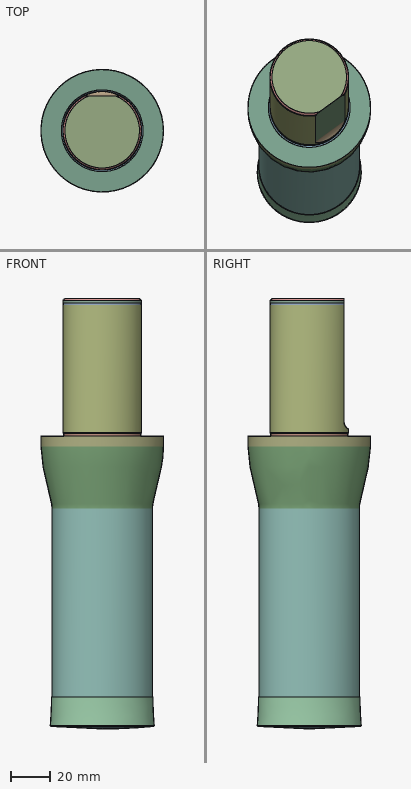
import cadquery as cq
import math

TOTAL_HEIGHT = 219.0
ROD_RADIUS = 0.5 * 40.0

BARREL_RADIUS = 0.5 * 51.2
HEAD_RADIUS = 0.5 * 62.5
HEAD_TOP_Z = 149.0
HEAD_BAND_HEIGHT = 5.3
FLARE_BOTTOM_Z = 112.0
FLARE_INFLECTION_Z = 118.3
FLARE_INFLECTION_RADIUS = 26.7
FLARE_MID_Z = 130.3
FLARE_MID_RADIUS = 29.5
FOOT_TOP_Z = 16.2
FOOT_TOP_RADIUS = 25.8
FOOT_MID_Z = 8.8
FOOT_MID_RADIUS = 26.0
FOOT_BOTTOM_RADIUS = 26.5
FOOT_CHAMFER = 0.5
DOME_EDGE_RADIUS = FOOT_BOTTOM_RADIUS - FOOT_CHAMFER
DOME_RADIUS = 262.8
DOME_HEIGHT = DOME_RADIUS - math.sqrt(DOME_RADIUS**2 - DOME_EDGE_RADIUS**2)

SPIGOT_RADIUS = 0.5 * 39.5
SOCKET_DEPTH = 22.0
SOCKET_FLOOR_Z = HEAD_TOP_Z - SOCKET_DEPTH
SOCKET_CHAMFER = 1.0

SHOULDER_Z = HEAD_TOP_Z + 2.0
SHOULDER_TAPER_HEIGHT = 0.7
TIP_TAPER_Z = 215.5
TIP_LIP_Z = 216.8
TIP_WAIST_RADIUS = 19.7
TIP_CHAMFER = 1.0

FLAT_Y = 17.7
RUNOUT_RADIUS = 4.4
RUNOUT_CENTRE_Z = 156.4


def make_housing():
    """Revolve the outer shape about Z and bore the chamfered socket."""
    head_band_z = HEAD_TOP_Z - HEAD_BAND_HEIGHT
    body = (
        cq.Workplane("XZ")
        .moveTo(0, HEAD_TOP_Z)
        .lineTo(HEAD_RADIUS, HEAD_TOP_Z)
        .lineTo(HEAD_RADIUS, head_band_z)
        .spline(
            [
                (FLARE_MID_RADIUS, FLARE_MID_Z),
                (FLARE_INFLECTION_RADIUS, FLARE_INFLECTION_Z),
                (BARREL_RADIUS, FLARE_BOTTOM_Z),
            ],
            tangents=[(0, -1), (0, -1)],
            includeCurrent=True,
        )
        .lineTo(BARREL_RADIUS, FOOT_TOP_Z)
        .lineTo(FOOT_TOP_RADIUS, FOOT_TOP_Z)
        .threePointArc(
            (FOOT_MID_RADIUS, FOOT_MID_Z),
            (FOOT_BOTTOM_RADIUS, DOME_HEIGHT + FOOT_CHAMFER),
        )
        .lineTo(DOME_EDGE_RADIUS, DOME_HEIGHT)
        .radiusArc((0, 0), DOME_RADIUS)
        .close()
        .revolve(360, (0, 0, 0), (0, 1, 0))
    )
    mouth_radius = SPIGOT_RADIUS + SOCKET_CHAMFER
    socket = (
        cq.Workplane("XZ")
        .moveTo(0, SOCKET_FLOOR_Z)
        .lineTo(SPIGOT_RADIUS, SOCKET_FLOOR_Z)
        .lineTo(SPIGOT_RADIUS, HEAD_TOP_Z - SOCKET_CHAMFER)
        .lineTo(mouth_radius, HEAD_TOP_Z)
        .lineTo(0, HEAD_TOP_Z)
        .close()
        .revolve(360, (0, 0, 0), (0, 1, 0))
    )
    return body.cut(socket)


def make_flat_cutter():
    """Block beyond the flat, rounded at its lower inner edge."""
    outer_y = FLAT_Y + RUNOUT_RADIUS
    return (
        cq.Workplane("YZ")
        .moveTo(FLAT_Y, TOTAL_HEIGHT)
        .lineTo(FLAT_Y, RUNOUT_CENTRE_Z)
        .radiusArc((outer_y, RUNOUT_CENTRE_Z - RUNOUT_RADIUS), -RUNOUT_RADIUS)
        .lineTo(outer_y, TOTAL_HEIGHT)
        .close()
        .extrude(ROD_RADIUS, both=True)
    )


def make_rod():
    """Revolve the stepped rod about Z and cut its flat."""
    body = (
        cq.Workplane("XZ")
        .moveTo(0, SOCKET_FLOOR_Z)
        .lineTo(SPIGOT_RADIUS, SOCKET_FLOOR_Z)
        .lineTo(SPIGOT_RADIUS, SHOULDER_Z - SHOULDER_TAPER_HEIGHT)
        .lineTo(ROD_RADIUS, SHOULDER_Z)
        .lineTo(ROD_RADIUS, TIP_TAPER_Z)
        .lineTo(TIP_WAIST_RADIUS, TIP_LIP_Z)
        .lineTo(ROD_RADIUS, TIP_LIP_Z)
        .lineTo(ROD_RADIUS, TOTAL_HEIGHT - TIP_CHAMFER)
        .lineTo(ROD_RADIUS - TIP_CHAMFER, TOTAL_HEIGHT)
        .lineTo(0, TOTAL_HEIGHT)
        .close()
        .revolve(360, (0, 0, 0), (0, 1, 0))
    )
    return body.cut(make_flat_cutter())


housing = make_housing()
rod = make_rod()
result = cq.Compound.makeCompound([housing.val(), rod.val()])